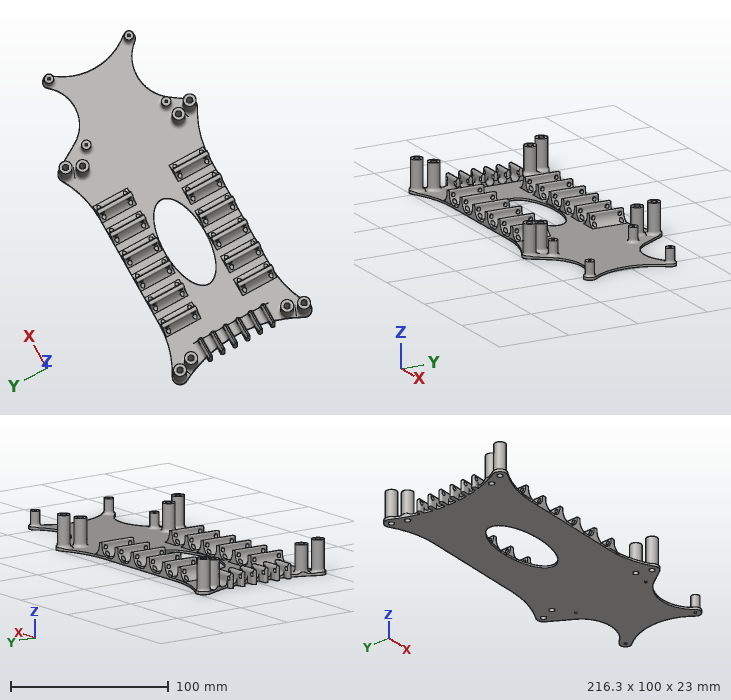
import cadquery as cq
import math

plate_thickness = 1.5
plate_half_width = 40.0
edge_bow_start_x = 41.0

post_flare = 2.4
tall_radius = 4.1
tall_height = 23.0
tall_bore = 2.0
tall_corner = 5.0
tall_left_x = tall_corner
tall_right_x = 154.9
tall_y = 45.0
body_mid_x = (tall_left_x + tall_right_x) / 2

medium_radius = 4.1
medium_height = 20.3
medium_bore = 2.0
medium_inset = 4.0
medium_y = 34.8

short_radius = 3.0
short_height = 12.0
short_bore = 0.9
short_corner = 4.1
short_inner_x = 163.3
short_outer_x = 216.3 - short_corner
short_top_y = 25.3
short_bottom_y = -32.7

left_bay_x = 11.2
right_bay_x = 206.0
top_bay_centre = (190.1, 43.0)
bottom_bay_centre = (188.4, -52.1)

window_half_length = 31.1
window_half_width = 14.5

saddle_count = 6
saddle_first_x = 37.6
saddle_pitch = 16.9
saddle_top = 10.0
saddle_inner_y = 15.1
saddle_length = plate_half_width - saddle_inner_y
saddle_half_wall = 1.5
saddle_edge_round = 0.6
cell_axis_z = 8.0
cell_radius = saddle_pitch / 2 - saddle_half_wall
tie_hole_diameter = 2.5
saddle_hole_inset = 2.8
saddle_hole_heights = (3.2, 7.1)

fin_count = 6
fin_pitch = 9.0
fin_thickness = 3.0
fin_left_x = 4.5
fin_right_x = 19.7
fin_shoulder_z = 7.4
fin_top_round = 2.0
fin_tip_round = 1.3
fin_hole_inset = 2.0
fin_hole_z = 6.5


def toward(start, end, distance):
    """Point at a distance from start along the line to end."""
    length = math.dist(start, end)
    return tuple(s + (e - s) * distance / length for s, e in zip(start, end))


def cross_tangent(centre, radius, other, other_radius, side):
    """Tangent points, on both circles, of the line that crosses between them."""
    heading = math.atan2(other[1] - centre[1], other[0] - centre[0])
    turn = heading + side * math.acos((radius + other_radius) / math.dist(centre, other))
    normal = (math.cos(turn), math.sin(turn))
    first = tuple(c + radius * n for c, n in zip(centre, normal))
    second = tuple(c - other_radius * n for c, n in zip(other, normal))
    return first, second


def bay_radius(depth, half_span, corner):
    """Radius of a bay tangent to two equal corner circles; depth is from their centre line."""
    return (half_span**2 + depth**2 - corner**2) / (2 * (corner + depth))


def plate_outline():
    top_left = (tall_left_x, tall_y)
    top_right = (tall_right_x, tall_y)
    bottom_right = (tall_right_x, -tall_y)
    end_top = (short_outer_x, short_top_y)
    end_bottom = (short_outer_x, short_bottom_y)

    bow_radius = bay_radius(tall_y - plate_half_width, edge_bow_start_x - tall_left_x, tall_corner)
    bow_y = plate_half_width + bow_radius
    edge_bow_end_x = 2 * body_mid_x - edge_bow_start_x
    bow_left = toward(top_left, (edge_bow_start_x, bow_y), tall_corner)
    bow_right = toward(top_right, (edge_bow_end_x, bow_y), tall_corner)
    bow_angle = math.atan2(bow_y - tall_y, edge_bow_start_x - tall_left_x) / 2 + math.pi / 4
    bow_dx = bow_radius * math.cos(bow_angle)
    bow_mid_y = bow_y - bow_radius * math.sin(bow_angle)

    top_radius = math.dist(top_bay_centre, end_top) - short_corner
    bottom_radius = math.dist(bottom_bay_centre, end_bottom) - short_corner
    top_flank = cross_tangent(top_right, tall_corner, top_bay_centre, top_radius, 1)
    bottom_flank = cross_tangent(bottom_right, tall_corner, bottom_bay_centre, bottom_radius, -1)
    top_bay_end = toward(end_top, top_bay_centre, short_corner)
    bottom_bay_end = toward(end_bottom, bottom_bay_centre, short_corner)

    end_mid_y = (short_top_y + short_bottom_y) / 2
    right_depth = short_outer_x - right_bay_x
    right_radius = bay_radius(right_depth, short_top_y - end_mid_y, short_corner)
    right_centre = (right_bay_x + right_radius, end_mid_y)
    left_radius = bay_radius(left_bay_x - tall_left_x, tall_y, tall_corner)
    left_centre = (left_bay_x - left_radius, 0)

    def mirrored(point):
        return (point[0], -point[1])

    left_bay_end = toward(top_left, left_centre, tall_corner)
    corner_tip = toward(top_left, (body_mid_x, 0), -tall_corner)
    corner_tip_right = (tall_right_x, tall_y + tall_corner)
    return (
        cq.Workplane("XY")
        .moveTo(*left_bay_end)
        .threePointArc(corner_tip, bow_left)
        .threePointArc((edge_bow_start_x - bow_dx, bow_mid_y), (edge_bow_start_x, plate_half_width))
        .lineTo(edge_bow_end_x, plate_half_width)
        .threePointArc((edge_bow_end_x + bow_dx, bow_mid_y), bow_right)
        .threePointArc(corner_tip_right, top_flank[0])
        .lineTo(*top_flank[1])
        .threePointArc((top_bay_centre[0], top_bay_centre[1] - top_radius), top_bay_end)
        .threePointArc((216.3, short_top_y), toward(end_top, right_centre, short_corner))
        .threePointArc((right_bay_x, end_mid_y), toward(end_bottom, right_centre, short_corner))
        .threePointArc((216.3, short_bottom_y), bottom_bay_end)
        .threePointArc((bottom_bay_centre[0], bottom_bay_centre[1] + bottom_radius), bottom_flank[1])
        .lineTo(*bottom_flank[0])
        .threePointArc(mirrored(corner_tip_right), mirrored(bow_right))
        .threePointArc((edge_bow_end_x + bow_dx, -bow_mid_y), (edge_bow_end_x, -plate_half_width))
        .lineTo(edge_bow_start_x, -plate_half_width)
        .threePointArc((edge_bow_start_x - bow_dx, -bow_mid_y), mirrored(bow_left))
        .threePointArc(mirrored(corner_tip), mirrored(left_bay_end))
        .threePointArc((left_bay_x, 0), left_bay_end)
        .close()
    )


def post(radius, height):
    """Post, standing at the origin, with a concave flare where it meets the plate."""
    diagonal = post_flare * (1 - math.sqrt(0.5))
    flare_top = plate_thickness + post_flare
    return (
        cq.Workplane("XZ")
        .lineTo(radius + post_flare, 0)
        .lineTo(radius + post_flare, plate_thickness)
        .threePointArc((radius + diagonal, plate_thickness + diagonal), (radius, flare_top))
        .lineTo(radius, height)
        .lineTo(0, height)
        .close()
        .revolve(360, (0, 0), (0, 1))
    )


def saddle():
    """Wall between two battery cells: cylindrical flanks, rounded top edges, tie holes along X."""
    drop = cell_axis_z - plate_thickness
    foot = saddle_pitch / 2 - math.sqrt(cell_radius**2 - drop**2)
    mid_angle = math.asin(drop / cell_radius) / 2
    mid_x = saddle_pitch / 2 - cell_radius * math.cos(mid_angle)
    mid_z = cell_axis_z - cell_radius * math.sin(mid_angle)
    wall = (
        cq.Workplane("XZ")
        .moveTo(-foot, 0)
        .lineTo(-foot, plate_thickness)
        .threePointArc((-mid_x, mid_z), (-saddle_half_wall, cell_axis_z))
        .lineTo(-saddle_half_wall, saddle_top)
        .lineTo(saddle_half_wall, saddle_top)
        .lineTo(saddle_half_wall, cell_axis_z)
        .threePointArc((mid_x, mid_z), (foot, plate_thickness))
        .lineTo(foot, 0)
        .close()
        .extrude(-saddle_length)
        .faces(">Z")
        .edges("|Y")
        .fillet(saddle_edge_round)
    )
    hole_rows = (saddle_hole_inset, saddle_length - saddle_hole_inset)
    hole_places = [(y, z) for y in hole_rows for z in saddle_hole_heights]
    holes = (
        cq.Workplane("YZ")
        .pushPoints(hole_places)
        .circle(tie_hole_diameter / 2)
        .extrude(foot, both=True)
    )
    return wall.cut(holes)


def fin():
    """Comb fin with a pointed-arch top, rounded ends and two tie holes along Y."""
    half = fin_thickness / 2
    arch_mid = (
        fin_thickness * math.cos(math.pi / 6) - half,
        fin_shoulder_z + fin_thickness * math.sin(math.pi / 6),
    )
    peak = (0, fin_shoulder_z + fin_thickness * math.sin(math.pi / 3))
    length = fin_right_x - fin_left_x
    arch = (
        cq.Workplane("YZ")
        .moveTo(-half, 0)
        .lineTo(half, 0)
        .lineTo(half, fin_shoulder_z)
        .threePointArc(arch_mid, peak)
        .threePointArc((-arch_mid[0], arch_mid[1]), (-half, fin_shoulder_z))
        .close()
        .extrude(length)
    )
    side = (
        cq.Workplane("XZ")
        .rect(length, peak[1], centered=False)
        .extrude(half, both=True)
        .edges("|Y and >Z")
        .fillet(fin_top_round)
        .edges("|Z and <X")
        .fillet(fin_tip_round)
    )
    holes = (
        cq.Workplane("XZ")
        .pushPoints([(fin_hole_inset, fin_hole_z), (length - fin_hole_inset, fin_hole_z)])
        .circle(tie_hole_diameter / 2)
        .extrude(half, both=True)
    )
    return arch.intersect(side).cut(holes)


def comb_bed(fin_rows):
    """Raised bed under the fins with a half-round trough between neighbours."""
    trough_radius = (fin_pitch - fin_thickness) / 2
    bed_half = fin_rows[-1] + fin_thickness / 2 + trough_radius
    bed_top = plate_thickness + trough_radius
    trough_rows = [y - fin_pitch / 2 for y in fin_rows] + [fin_rows[-1] + fin_pitch / 2]
    bed = cq.Workplane("XY").box(fin_right_x, 2 * bed_half, bed_top, centered=(False, True, False))
    troughs = (
        cq.Workplane("YZ")
        .pushPoints([(y, bed_top) for y in trough_rows])
        .circle(trough_radius)
        .extrude(fin_right_x)
    )
    return bed.cut(troughs)


def repeated(part, places):
    """Copies of a part, one at each (x, y) place."""
    return cq.Workplane("XY").pushPoints(places).eachpoint(part.val())


def upright_cylinders(places, radius, height):
    return cq.Workplane("XY").pushPoints(places).circle(radius).extrude(height)


tall_places = [(x, y) for x in (tall_left_x, tall_right_x) for y in (tall_y, -tall_y)]
medium_places = [
    (x, y)
    for x in (tall_left_x + medium_inset, tall_right_x - medium_inset)
    for y in (medium_y, -medium_y)
]
short_places = [(x, y) for x in (short_inner_x, short_outer_x) for y in (short_top_y, short_bottom_y)]
fin_rows = [(i - (fin_count - 1) / 2) * fin_pitch for i in range(fin_count)]
saddle_places = [
    (saddle_first_x + i * saddle_pitch, y)
    for i in range(saddle_count)
    for y in (saddle_inner_y, -plate_half_width)
]

footed = (
    comb_bed(fin_rows)
    .union(repeated(post(tall_radius, tall_height), tall_places))
    .union(repeated(post(medium_radius, medium_height), medium_places))
    .union(repeated(post(short_radius, short_height), short_places))
    .intersect(plate_outline().extrude(tall_height))
)
window = (
    cq.Workplane("XY")
    .center(body_mid_x, 0)
    .ellipse(window_half_length, window_half_width)
    .extrude(plate_thickness)
)
result = (
    plate_outline()
    .extrude(plate_thickness)
    .union(footed)
    .union(repeated(fin(), [(fin_left_x, y) for y in fin_rows]))
    .union(repeated(saddle(), saddle_places))
    .cut(upright_cylinders(tall_places, tall_bore, tall_height))
    .cut(upright_cylinders(medium_places, medium_bore, medium_height))
    .cut(upright_cylinders(short_places, short_bore, short_height))
    .cut(window)
)